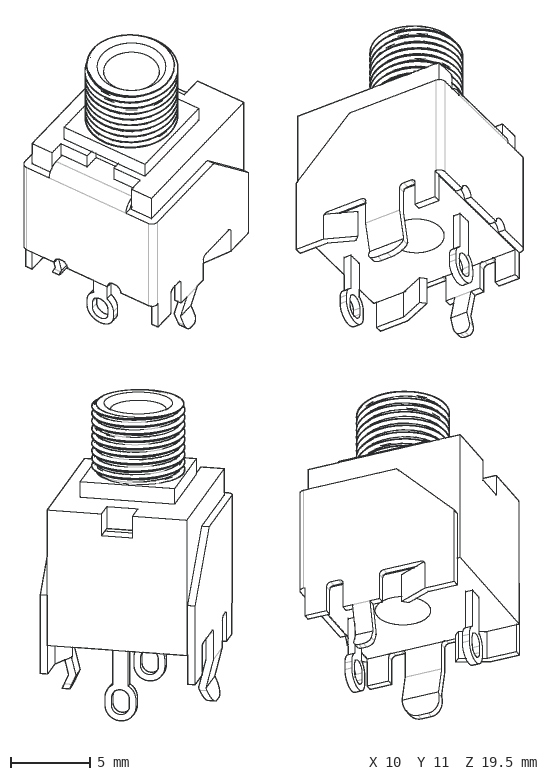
import cadquery as cq
import math


SHEET = 0.49

SHIELD_WIDTH = 10.0
HOUSING_WIDTH = SHIELD_WIDTH - 2 * SHEET
HOUSING_HEIGHT = 9.0
HOUSING_FRONT = -4.52
HOUSING_BACK = 6.0
BORE_DIAMETER = 3.5

SLOT_WIDTH = 6.0
SLOT_LENGTH = 1.0
STEM_WIDTH = 2.0
STEM_LENGTH = 2.0
REAR_SLOT_LENGTH = 1.5

FLANGE_SIZE = 6.11
FLANGE_HEIGHT = 1.03
THREAD_LENGTH = 4.45
THREAD_TURNS = 9
THREAD_PITCH = THREAD_LENGTH / THREAD_TURNS
CREST_RADIUS = 2.94
ROOT_RADIUS = 2.67
RIDGE_BASE = 0.35
CREST_TIP = 0.04
CREST_BELOW_TOP = 0.21
MOUTH_CHAMFER = 0.4

SHIELD_FRONT = HOUSING_FRONT - SHEET
SHIELD_BACK = 5.8
SHIELD_BOTTOM = 0.08
SHIELD_TOP = 7.25
SLOPE_RUN = 3.97
CORNER_RADIUS = 0.4
BITE_RADIUS = 0.5
BITE_X = 2.0

BEND_RADIUS = 0.8
BEND_INNER_RADIUS = BEND_RADIUS - SHEET
TAB_WIDTH = 5.8
TAB_TOP = SHIELD_TOP + BEND_RADIUS
TAB_UNDERSIDE = TAB_TOP - SHEET

FOOT_BOTTOM = -1.97
FRONT_FOOT_BACK = -3.02
REAR_FOOT_FRONT = 3.78
SNAP_FRONT = -1.89
SNAP_BACK = 0.65
RIGHT_SNAP_WIDTH = 1.2
FOOT_FILLET = 0.3
FLAP_FRONT = 1.77
FLAP_SHIFT = 0.9
FLAP_TIP_RUN = 0.33
FLAP_TIP_RISE = 0.35
SNAP_KINK_Z = -3.91
SNAP_SHIFT = 0.49
LEFT_SNAP_ROUND = 0.92
RIGHT_SNAP_ROUND = 0.45

LUG_BOTTOM = -4.98
LUG_INSET = 0.95
LUG_FRONT_FACES = (HOUSING_FRONT + LUG_INSET, HOUSING_BACK - LUG_INSET - SHEET)
LUG_STEM_WIDTH = 1.01
EYE_WIDTH = 2.0
EYE_STRAIGHT = 0.49
EYE_HOLE_WIDTH = 1.15
LUG_HEAD_HEIGHT = 1.0
LUG_TOP = TAB_UNDERSIDE


def block(x_min, x_max, y_min, y_max, z_min, z_max):
    """Box between two limits along each axis."""
    size = (x_max - x_min, y_max - y_min, z_max - z_min)
    return cq.Workplane("XY").box(*size, centered=False).translate((x_min, y_min, z_min))


def centered_block(width, y_min, y_max, z_min, z_max):
    """Box centred on the YZ plane."""
    return block(-width / 2, width / 2, y_min, y_max, z_min, z_max)


def make_lug(front_face):
    """Flat lug: retaining head, stem and an oblong eye."""
    eye_center = LUG_BOTTOM + (EYE_WIDTH + EYE_STRAIGHT) / 2
    eye_length = EYE_WIDTH + EYE_STRAIGHT
    hole_length = EYE_HOLE_WIDTH + EYE_STRAIGHT
    back_face = front_face + SHEET
    plane = cq.Workplane("XZ", origin=(0, back_face, 0)).center(0, eye_center)

    eye = plane.slot2D(eye_length, EYE_WIDTH, 90).extrude(SHEET)
    hole = plane.slot2D(hole_length, EYE_HOLE_WIDTH, 90).extrude(SHEET)
    stem = centered_block(LUG_STEM_WIDTH, front_face, back_face, eye_center, LUG_TOP)
    head = centered_block(STEM_WIDTH, front_face, back_face, LUG_TOP - LUG_HEAD_HEIGHT, LUG_TOP)
    return eye.union(stem).union(head).cut(hole)


def make_housing(lugs):
    """Plastic block with a bore, a T-shaped front slot, a rear slot and pockets for the lugs."""
    slot_back = HOUSING_FRONT + SLOT_LENGTH
    stem_back = HOUSING_FRONT + STEM_LENGTH
    rear_slot_front = HOUSING_BACK - REAR_SLOT_LENGTH
    floor = TAB_UNDERSIDE

    body = centered_block(HOUSING_WIDTH, HOUSING_FRONT, HOUSING_BACK, 0, HOUSING_HEIGHT)
    body = body.cut(centered_block(SLOT_WIDTH, HOUSING_FRONT, slot_back, floor, HOUSING_HEIGHT))
    slot_edge = cq.selectors.NearestToPointSelector((0, HOUSING_FRONT, floor))
    body = body.edges(slot_edge).fillet(BEND_INNER_RADIUS)
    body = body.cut(centered_block(STEM_WIDTH, slot_back, stem_back, floor, HOUSING_HEIGHT))
    body = body.cut(centered_block(STEM_WIDTH, rear_slot_front, HOUSING_BACK, floor, HOUSING_HEIGHT))
    body = body.cut(cq.Workplane("XY").circle(BORE_DIAMETER / 2).extrude(HOUSING_HEIGHT))
    for lug in lugs:
        body = body.cut(lug)
    return body


def polar_point(radius, angle):
    """Point in the XY plane at a radius and an angle in degrees."""
    return (radius * math.cos(math.radians(angle)), radius * math.sin(math.radians(angle)))


def flank_points(start_radius, start_angle, end_radius, end_angle):
    """Points after the start of a spiral flank whose radius changes evenly with the angle."""
    steps = 6
    points = []
    for step in range(1, steps + 1):
        part = step / steps
        radius = start_radius + part * (end_radius - start_radius)
        angle = start_angle + part * (end_angle - start_angle)
        points.append(polar_point(radius, angle))
    return points


def make_thread(bottom):
    """Right-hand thread: its level cross-section twisted once per pitch along the axis."""
    crest = 360 * CREST_BELOW_TOP / THREAD_PITCH
    half_base = 180 * RIDGE_BASE / THREAD_PITCH
    half_tip = 180 * CREST_TIP / THREAD_PITCH
    base_start = crest - half_base
    base_end = crest + half_base
    tip_start = crest - half_tip
    tip_end = crest + half_tip
    cross_section = (
        cq.Workplane("XY", origin=(0, 0, bottom))
        .moveTo(*polar_point(ROOT_RADIUS, base_start))
        .spline(flank_points(ROOT_RADIUS, base_start, CREST_RADIUS, tip_start), includeCurrent=True)
        .threePointArc(polar_point(CREST_RADIUS, crest), polar_point(CREST_RADIUS, tip_end))
        .spline(flank_points(CREST_RADIUS, tip_end, ROOT_RADIUS, base_end), includeCurrent=True)
        .threePointArc(polar_point(ROOT_RADIUS, crest + 180), polar_point(ROOT_RADIUS, base_start))
        .close()
    )
    return cross_section.twistExtrude(THREAD_LENGTH, 360 * THREAD_TURNS)


def make_bushing():
    """Square flange with a threaded, chamfered sleeve."""
    thread_bottom = HOUSING_HEIGHT + FLANGE_HEIGHT
    top = thread_bottom + THREAD_LENGTH
    bore_radius = BORE_DIAMETER / 2
    half = FLANGE_SIZE / 2

    flange = centered_block(FLANGE_SIZE, -half, half, HOUSING_HEIGHT, thread_bottom)
    bore = (
        cq.Workplane("XZ")
        .polyline([
            (0, HOUSING_HEIGHT),
            (bore_radius, HOUSING_HEIGHT),
            (bore_radius, top - MOUTH_CHAMFER),
            (bore_radius + MOUTH_CHAMFER, top),
            (0, top),
        ])
        .close()
        .revolve(360, (0, 0, 0), (0, 1, 0))
    )
    return make_thread(thread_bottom).union(flange).cut(bore)


def make_shield_wrap():
    """U-shaped wall around the front and both sides of the housing."""
    outer = centered_block(SHIELD_WIDTH, SHIELD_FRONT, SHIELD_BACK, SHIELD_BOTTOM, SHIELD_TOP)
    outer = outer.edges("|Z and <Y").fillet(CORNER_RADIUS)
    inside = centered_block(HOUSING_WIDTH, HOUSING_FRONT, SHIELD_BACK, SHIELD_BOTTOM, SHIELD_TOP)
    slope = (
        cq.Workplane("YZ")
        .polyline([
            (SHIELD_BACK, SHIELD_TOP),
            (SHIELD_BACK - SLOPE_RUN, SHIELD_TOP),
            (SHIELD_BACK, SHIELD_TOP - SLOPE_RUN),
        ])
        .close()
        .extrude(SHIELD_WIDTH / 2, both=True)
    )
    bites = (
        cq.Workplane("XZ", origin=(0, HOUSING_FRONT, SHIELD_BOTTOM))
        .pushPoints([(-BITE_X, 0), (BITE_X, 0)])
        .circle(BITE_RADIUS)
        .extrude(SHEET)
    )
    return outer.cut(inside).cut(slope).cut(bites)


def make_shield_tab():
    """Tab bent over the front edge, narrowing to a stem that runs below the bushing flange."""
    bend_y = SHIELD_FRONT + BEND_RADIUS
    slot_back = HOUSING_FRONT + SLOT_LENGTH
    stem_back = HOUSING_FRONT + STEM_LENGTH
    diagonal = math.sqrt(0.5)
    bent = (
        cq.Workplane("YZ")
        .moveTo(SHIELD_FRONT, SHIELD_TOP)
        .threePointArc(
            (bend_y - BEND_RADIUS * diagonal, SHIELD_TOP + BEND_RADIUS * diagonal),
            (bend_y, TAB_TOP),
        )
        .lineTo(slot_back, TAB_TOP)
        .lineTo(slot_back, TAB_UNDERSIDE)
        .lineTo(bend_y, TAB_UNDERSIDE)
        .threePointArc(
            (bend_y - BEND_INNER_RADIUS * diagonal, SHIELD_TOP + BEND_INNER_RADIUS * diagonal),
            (HOUSING_FRONT, SHIELD_TOP),
        )
        .close()
        .extrude(TAB_WIDTH / 2, both=True)
    )
    return bent.union(centered_block(STEM_WIDTH, slot_back, stem_back, TAB_UNDERSIDE, TAB_TOP))


def make_foot_row(side):
    """Front foot, snap leg root and rear foot of one side wall, with filleted gaps between them."""
    inner_x = side * HOUSING_WIDTH / 2
    outer_x = side * SHIELD_WIDTH / 2
    x_min = min(inner_x, outer_x)
    x_max = max(inner_x, outer_x)
    joint = SHIELD_BOTTOM + FOOT_FILLET
    row = block(x_min, x_max, HOUSING_FRONT, SHIELD_BACK, FOOT_BOTTOM, joint)
    for gap_front, gap_back in ((FRONT_FOOT_BACK, SNAP_FRONT), (SNAP_BACK, REAR_FOOT_FRONT)):
        gap = block(x_min, x_max, gap_front, gap_back, FOOT_BOTTOM, SHIELD_BOTTOM)
        row = row.cut(gap.edges("|X and >Z").fillet(FOOT_FILLET))
    return row


def make_flap(side):
    """Flap bent inwards from the front edge of the rear foot."""
    outer_x = SHIELD_WIDTH / 2
    inner_x = HOUSING_WIDTH / 2
    tip_x = outer_x - FLAP_SHIFT
    outline = [
        (side * outer_x, REAR_FOOT_FRONT),
        (side * tip_x, FLAP_FRONT),
        (side * (tip_x - FLAP_TIP_RUN), FLAP_FRONT + FLAP_TIP_RISE),
        (side * inner_x, REAR_FOOT_FRONT),
    ]
    plane = cq.Workplane("XY", origin=(0, 0, FOOT_BOTTOM))
    return plane.polyline(outline).close().extrude(-FOOT_BOTTOM)


def make_snap_leg(side, leg_width, round_radius):
    """Kinked snap leg with a rounded end, leaning inwards and then out again."""
    outer_x = SHIELD_WIDTH / 2
    inner_x = HOUSING_WIDTH / 2
    outline = [
        (side * outer_x, FOOT_BOTTOM),
        (side * (outer_x - SNAP_SHIFT), SNAP_KINK_Z),
        (side * outer_x, LUG_BOTTOM),
        (side * inner_x, LUG_BOTTOM),
        (side * (inner_x - SNAP_SHIFT), SNAP_KINK_Z),
        (side * inner_x, FOOT_BOTTOM),
    ]
    middle = (SNAP_FRONT + SNAP_BACK) / 2
    front = middle - leg_width / 2
    back = middle + leg_width / 2
    strip = cq.Workplane("XZ", origin=(0, back, 0)).polyline(outline).close().extrude(leg_width)
    rounded = centered_block(SHIELD_WIDTH, front, back, LUG_BOTTOM, FOOT_BOTTOM)
    rounded = rounded.edges("|X and <Z").fillet(round_radius)
    return strip.intersect(rounded)


def make_shield():
    """One bent sheet: wall, tab, feet, flaps and snap legs."""
    shield = make_shield_wrap().union(make_shield_tab())
    snap_legs = ((-1, SNAP_BACK - SNAP_FRONT, LEFT_SNAP_ROUND), (1, RIGHT_SNAP_WIDTH, RIGHT_SNAP_ROUND))
    for side, leg_width, round_radius in snap_legs:
        shield = shield.union(make_foot_row(side))
        shield = shield.union(make_flap(side))
        shield = shield.union(make_snap_leg(side, leg_width, round_radius))
    return shield


lugs = [make_lug(front_face) for front_face in LUG_FRONT_FACES]
housing = make_housing(lugs)
bushing = make_bushing()
shield = make_shield()

result = cq.Compound.makeCompound([
    housing.val(),
    bushing.val(),
    shield.val(),
    *[lug.val() for lug in lugs],
])